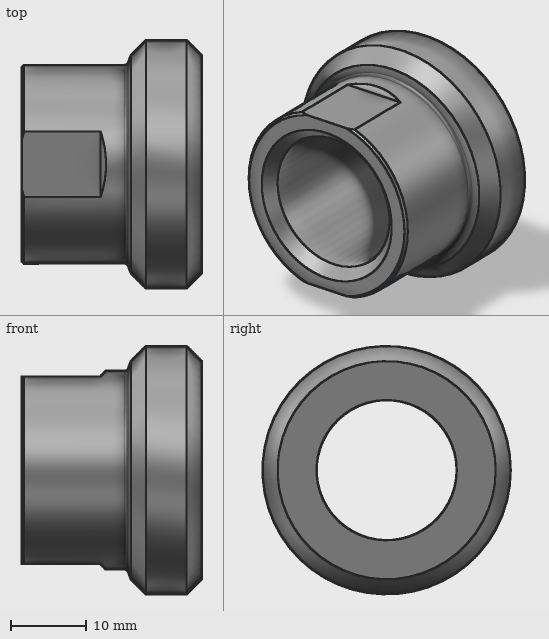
import cadquery as cq
import math

length = 24.0
bore_radius = 18.65 / 2
neck_radius = 26.5 / 2
flange_radius = 33.1 / 2

neck_chamfer = 0.33
mouth_radius = 10.82
mouth_depth = mouth_radius - bore_radius

flange_chamfer = 2.02
flange_rim_start = 16.55
shoulder_radius = flange_radius - flange_chamfer
shoulder_x = flange_rim_start - flange_chamfer
fillet_radius = 0.5
shoulder_angle = math.radians(70)

flat_height = 12.5
flat_length = 10.5


def revolved_body():
    """Stepped, bored sleeve with a neck fillet tangent to the shoulder cone."""
    fillet_top = neck_radius + fillet_radius * (1 - math.cos(shoulder_angle))
    fillet_end = shoulder_x - (shoulder_radius - fillet_top) / math.tan(shoulder_angle)
    fillet_start = fillet_end - fillet_radius * math.sin(shoulder_angle)
    half_angle = shoulder_angle / 2
    fillet_middle = (
        fillet_start + fillet_radius * math.sin(half_angle),
        neck_radius + fillet_radius * (1 - math.cos(half_angle)),
    )
    profile = (
        cq.Workplane("XY")
        .moveTo(mouth_depth, bore_radius)
        .lineTo(0, mouth_radius)
        .lineTo(0, neck_radius - neck_chamfer)
        .lineTo(neck_chamfer, neck_radius)
        .lineTo(fillet_start, neck_radius)
        .threePointArc(fillet_middle, (fillet_end, fillet_top))
        .lineTo(shoulder_x, shoulder_radius)
        .lineTo(flange_rim_start, flange_radius)
        .lineTo(length - flange_chamfer, flange_radius)
        .lineTo(length, flange_radius - flange_chamfer)
        .lineTo(length, bore_radius)
        .close()
    )
    return profile.revolve(360, (0, 0, 0), (1, 0, 0))


def flat_cutter(side):
    """Material above one flat, ending in a 45 degree run-out; side is +1 or -1 along Z."""
    cut_depth = neck_radius - flat_height
    return (
        cq.Workplane("XZ")
        .moveTo(0, side * flat_height)
        .lineTo(flat_length, side * flat_height)
        .lineTo(flat_length + cut_depth, side * neck_radius)
        .lineTo(0, side * neck_radius)
        .close()
        .extrude(neck_radius, both=True)
    )


result = revolved_body()
for side in (1, -1):
    result = result.cut(flat_cutter(side))